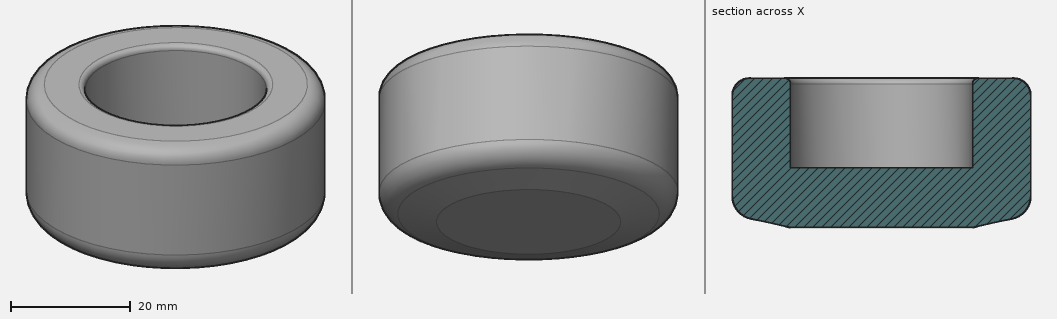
import cadquery as cq
import math

outer_diameter = 50
height = 25
top_fillet = 3

base_diameter = 30.8
cone_angle = math.radians(12.5)
bottom_fillet = 4

pocket_diameter = 30.4
pocket_depth = 15
pocket_lip_fillet = 1

outer_radius = outer_diameter / 2
base_radius = base_diameter / 2

corner_height = (outer_radius - base_radius) * math.tan(cone_angle)
blend_reach = bottom_fillet * math.tan((math.pi / 2 - cone_angle) / 2)
cone_end_radius = outer_radius - blend_reach * math.cos(cone_angle)
cone_end_height = corner_height - blend_reach * math.sin(cone_angle)
wall_start_height = corner_height + blend_reach


def make_body():
    """Revolved puck with a conical underside and rounded outer edges."""
    profile = (
        cq.Workplane("XZ")
        .lineTo(base_radius, 0)
        .lineTo(cone_end_radius, cone_end_height)
        .tangentArcPoint((outer_radius, wall_start_height), relative=False)
        .lineTo(outer_radius, height)
        .lineTo(0, height)
        .close()
    )
    body = profile.revolve(360, (0, 0, 0), (0, 1, 0))
    return body.faces(">Z").edges().fillet(top_fillet)


def cut_pocket(body):
    """Blind round pocket with a rounded mouth."""
    pocketed = body.faces(">Z").workplane().hole(pocket_diameter, pocket_depth)
    mouth = pocketed.faces(">Z").edges(cq.selectors.RadiusNthSelector(0))
    return mouth.fillet(pocket_lip_fillet)


result = cut_pocket(make_body())